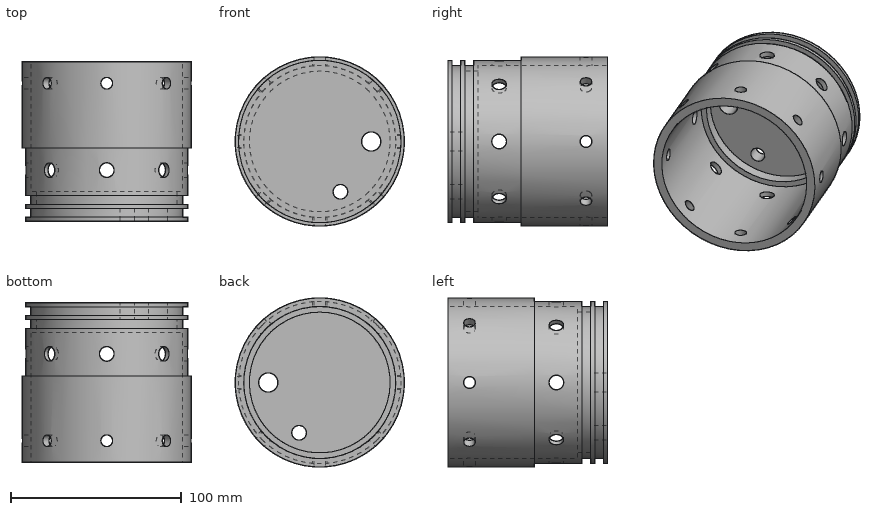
import cadquery as cq
import math

length = 93.5
y_front = -length / 2
y_open = length / 2

skirt_diameter = 99.1
skirt_length = 50.6
body_diameter = 95.0

groove_diameter = 89.2
groove_width = 5.1
land_width = 2.5
groove_pitch = groove_width + land_width
groove_count = 2

main_bore_diameter = 88.9
inner_bore_diameter = 82.3
end_wall = 10.0
reinforced_length = groove_count * groove_pitch + land_width

holes_per_row = 8
skirt_hole_diameter = 6.7
skirt_hole_inset = 12.7
body_hole_diameter = 8.4
body_hole_inset = 63.5

large_port_diameter = 11.1
small_port_diameter = 8.4
large_port_x = 30.1
small_port_x = 12.1
small_port_z = -29.4


def cylinder(diameter, y_start, height, x=0, z=0):
    """Solid cylinder along +Y from y_start."""
    return cq.Workplane(
        cq.Solid.makeCylinder(diameter / 2, height, cq.Vector(x, y_start, z), cq.Vector(0, 1, 0))
    )


def ring_groove(y_start):
    """Ring of material removed from the body to form one groove."""
    outside = cylinder(skirt_diameter, y_start, groove_width)
    return outside.cut(cylinder(groove_diameter, y_start, groove_width))


def radial_hole(diameter, y, angle):
    """Cutter from the axis outward through one side of the wall."""
    direction = cq.Vector(math.cos(angle), 0, math.sin(angle))
    return cq.Workplane(
        cq.Solid.makeCylinder(diameter / 2, skirt_diameter, cq.Vector(0, y, 0), direction)
    )


y_step = y_open - skirt_length
result = cylinder(body_diameter, y_front, length)
result = result.union(cylinder(skirt_diameter, y_step, skirt_length))

for index in range(groove_count):
    result = result.cut(ring_groove(y_front + land_width + index * groove_pitch))

y_bore_step = y_front + reinforced_length
result = result.cut(cylinder(inner_bore_diameter, y_front + end_wall, length - end_wall))
result = result.cut(cylinder(main_bore_diameter, y_bore_step, length - reinforced_length))

for index in range(holes_per_row):
    angle = index * 2 * math.pi / holes_per_row
    result = result.cut(radial_hole(skirt_hole_diameter, y_open - skirt_hole_inset, angle))
    result = result.cut(radial_hole(body_hole_diameter, y_open - body_hole_inset, angle))

result = result.cut(cylinder(large_port_diameter, y_front, end_wall, large_port_x, 0))
result = result.cut(cylinder(small_port_diameter, y_front, end_wall, small_port_x, small_port_z))